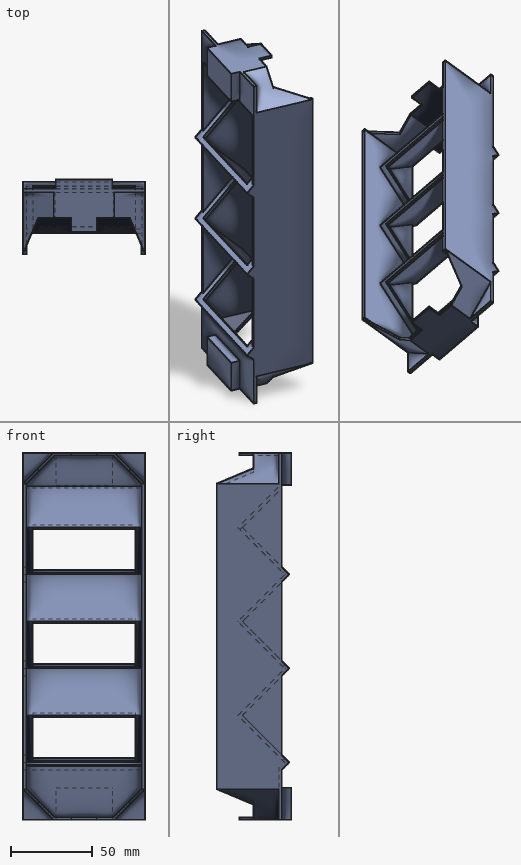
import cadquery as cq
import math

width = 75.0
height = 225.0
depth = 40.0
corner = 19.0
side_wall = 2.0
end_wall = 1.5
plate_thickness = 2.0

end_depth = 17.5
bevel_width = 9.5
tab_width = 15.5
tab_depth = 26.0

block_width = 34.9
block_height = 19.8
block_depth = 5.8

sheet_thickness = 2.0
fold_rise = 28.8
fold_count = 3
valley_y = 4.5
first_valley_z = 35.3
lower_plate_top = 32.8

window_width = 63.0
window_rise = 26.3

sheet_shift = sheet_thickness * math.sqrt(2)
pitch = 2 * fold_rise
front_valley_y = valley_y - sheet_shift
front_ridge_y = front_valley_y - fold_rise
last_ridge_z = first_valley_z + (2 * fold_count - 1) * fold_rise
sheet_top_z = last_ridge_z - front_ridge_y


def box(x_size, y_min, y_max, z_min, z_max):
    """Box centred on X."""
    corner_plane = cq.Workplane("XY", origin=(0, y_min, z_min))
    return corner_plane.box(x_size, y_max - y_min, z_max - z_min, centered=(True, False, False))


def octagon_prism(x_inset, z_inset, corner_leg):
    """Frame outline, inset from the outer size and extruded forward."""
    half = width / 2 - x_inset
    bottom = z_inset
    top = height - z_inset
    points = [
        (-half, bottom + corner_leg),
        (-half + corner_leg, bottom),
        (half - corner_leg, bottom),
        (half, bottom + corner_leg),
        (half, top - corner_leg),
        (half - corner_leg, top),
        (-half + corner_leg, top),
        (-half, top - corner_leg),
    ]
    return cq.Workplane("XZ").polyline(points).close().extrude(depth)


def make_frame():
    inner_corner = corner + end_wall * math.sqrt(2) - side_wall - end_wall
    ring = octagon_prism(0, 0, corner).cut(octagon_prism(side_wall, end_wall, inner_corner))
    half = width / 2
    end_profile = [
        (-half, 0),
        (-half, -depth),
        (-half + bevel_width, -end_depth),
        (half - bevel_width, -end_depth),
        (half, -depth),
        (half, 0),
    ]
    envelope = cq.Workplane("XY").polyline(end_profile).close().extrude(height)
    envelope = envelope.union(box(width, -depth, 0, corner, height - corner))
    return ring.intersect(envelope)


def make_end_fittings():
    """Back plates, catch blocks and front tabs at both ends."""
    upper_plate_bottom = sheet_top_z - sheet_shift
    fittings = box(width, -plate_thickness, 0, 0, lower_plate_top)
    fittings = fittings.union(box(width, -plate_thickness, 0, upper_plate_bottom, height))
    for block_z, tab_z in ((0, 0), (height - block_height, height - end_wall)):
        fittings = fittings.union(box(block_width, 0, block_depth, block_z, block_z + block_height))
        fittings = fittings.union(box(tab_width, -tab_depth, 0, tab_z, tab_z + end_wall))
    return fittings


def make_louvre():
    front = [(0, first_valley_z - front_valley_y)]
    back = [(0, first_valley_z - valley_y)]
    for fold in range(fold_count):
        valley_z = first_valley_z + fold * pitch
        ridge_z = valley_z + fold_rise
        front += [(front_valley_y, valley_z), (front_ridge_y, ridge_z)]
        back += [(valley_y, valley_z), (front_ridge_y + sheet_shift, ridge_z)]
    front.append((0, sheet_top_z))
    back.append((0, sheet_top_z - sheet_shift))
    louvre = cq.Workplane("YZ").polyline(front + back[::-1]).close().extrude(width / 2, both=True)

    cutter = cq.Workplane("XY").box(window_width, 3 * sheet_thickness, window_rise * math.sqrt(2))
    cutter = cutter.rotate((0, 0, 0), (1, 0, 0), 45)
    half_offset = sheet_shift / 4
    leg_middle_y = (front_valley_y + front_ridge_y) / 2 + half_offset
    for fold in range(fold_count):
        leg_middle_z = first_valley_z + fold * pitch + fold_rise / 2 + half_offset
        louvre = louvre.cut(cutter.translate((0, leg_middle_y, leg_middle_z)))
    return louvre


def make_valley_cheeks():
    """Pointed tabs on the back of both side walls that close the ends of the valleys."""
    cheeks = cq.Workplane("XY")
    for fold in range(fold_count):
        valley_z = first_valley_z + fold * pitch
        tab_outline = [
            (-plate_thickness, valley_z - valley_y),
            (0, valley_z - valley_y),
            (valley_y, valley_z),
            (0, valley_z + valley_y),
            (-plate_thickness, valley_z + valley_y),
        ]
        for outer_x in (-width / 2, width / 2 - side_wall):
            sketch_plane = cq.Workplane("YZ", origin=(outer_x, 0, 0))
            cheeks = cheeks.add(sketch_plane.polyline(tab_outline).close().extrude(side_wall))
    return cheeks.combine()


frame = make_frame().union(make_valley_cheeks())
result = frame.union(make_end_fittings()).union(make_louvre())